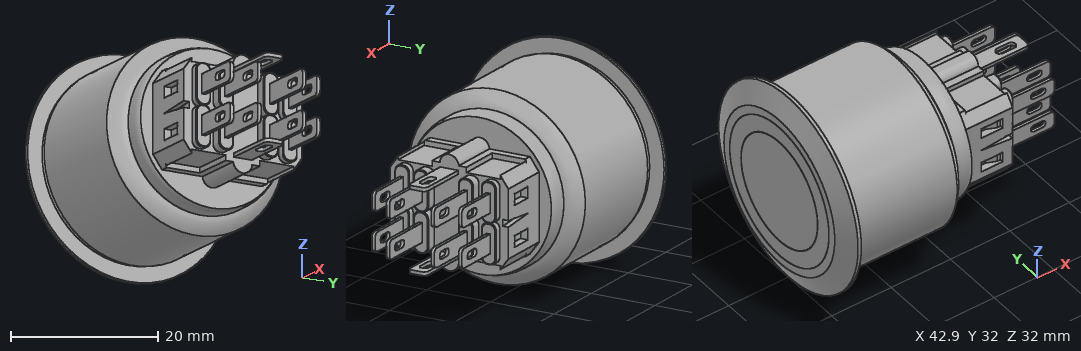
import cadquery as cq


bezel_face_radius = 12.7
rim_radius = 32.0 / 2
rim_front_x = 1.5
rim_back_x = 2.05
relief_start_radius = 13.73
relief_floor_radius = 13.45
relief_floor_x = 2.5
barrel_start_x = 2.95
barrel_radius = 27.9 / 2
barrel_end_x = 19.7
shoulder_mid = (20.7, 12.9)
neck_start_x = 21.35
neck_radius = 23.1 / 2
neck_round_x = 22.95
neck_end_x = 24.2
neck_end_radius = 11.25

face_gaps = [(17.5, 17.6), (22.75, 22.8)]
face_gap_depth = 0.2

block_end_x = 32.45
block_half_width = 9.3
block_half_height = 7.0
block_corner_z = 5.0
block_top_half_width = 7.85
root_overlap = 0.45

recess_start_x = 25.5
recess_inner_y = 2.7
recess_outer_y = 8.02
recess_floor_z = 6.2

rib_radius = 1.5
rib_axis_z = 6.85

window_start_x = 27.2
window_ramp_start_x = 28.7
window_ramp_end_x = 30.2
window_end_x = 30.75
window_height = 1.65
window_z = 3.0
window_depth = 1.15
latch_depth = 0.5

notch_start_x = window_start_x
notch_width = 0.95
notch_depth = 0.85

terminal_z = 2.9
terminal_width = 2.85
terminal_thickness = 0.5
terminal_slot_width = 1.1
outer_y = 6.8
outer_end_x = 41.15
outer_slot = (37.15, 39.65)
outer_collar_end_x = 33.55
inner_y = 3.5
inner_end_x = 42.9
inner_slot = (38.95, 41.45)
inner_collar_end_x = 34.05
lamp_z = 6.05
lamp_thickness = 0.55
lamp_slot = (36.55, 39.73)
lamp_slot_width = 1.3
terminal_corner = 0.7
collar_width = 2.27
collar_length = 5.95
collar_corner = 1.0
collar_edge = 0.15


def box(x_range, y_range, z_range):
    """Box spanning the given (start, end) pairs."""
    return (
        cq.Workplane("XY")
        .box(
            x_range[1] - x_range[0],
            y_range[1] - y_range[0],
            z_range[1] - z_range[0],
            centered=False,
        )
        .translate((x_range[0], y_range[0], z_range[0]))
    )


def housing():
    """Bezel, barrel and neck turned about X, with the thin gaps in the front face."""
    body = (
        cq.Workplane("XY")
        .lineTo(0, bezel_face_radius)
        .lineTo(rim_front_x, rim_radius)
        .lineTo(rim_back_x, rim_radius)
        .lineTo(rim_back_x, relief_start_radius)
        .threePointArc((relief_floor_x, relief_floor_radius), (barrel_start_x, barrel_radius))
        .lineTo(barrel_end_x, barrel_radius)
        .threePointArc(shoulder_mid, (neck_start_x, neck_radius))
        .lineTo(neck_round_x, neck_radius)
        .tangentArcPoint((neck_end_x, neck_end_radius), relative=False)
        .lineTo(neck_end_x, 0)
        .close()
        .revolve(360, (0, 0, 0), (1, 0, 0))
    )
    for inner_diameter, outer_diameter in face_gaps:
        gap = (
            cq.Workplane("YZ")
            .circle(outer_diameter / 2)
            .circle(inner_diameter / 2)
            .extrude(face_gap_depth)
        )
        body = body.cut(gap)
    return body


def side_window():
    """Latch window in the -Y side: a deep pocket whose floor ramps up to a shallow ledge."""
    surface_y = -block_half_width
    deep_y = surface_y + window_depth
    latch_y = surface_y + latch_depth
    return (
        cq.Workplane("XY")
        .moveTo(window_start_x, surface_y)
        .lineTo(window_start_x, deep_y)
        .lineTo(window_ramp_start_x, deep_y)
        .lineTo(window_ramp_end_x, latch_y)
        .lineTo(window_end_x, latch_y)
        .lineTo(window_end_x, surface_y)
        .close()
        .extrude(window_height / 2, both=True)
    )


def side_notch():
    """V notch in the -Y side, widening toward the rear of the block."""
    return (
        cq.Workplane("XZ", origin=(0, -block_half_width, 0))
        .moveTo(notch_start_x, 0)
        .lineTo(block_end_x, notch_width / 2)
        .lineTo(block_end_x, -notch_width / 2)
        .close()
        .extrude(-notch_depth)
    )


def terminal_block():
    """Bevelled block with ribs, recesses, latch windows and notches."""
    start_x = neck_end_x - root_overlap
    length = block_end_x - start_x
    block = (
        cq.Workplane("YZ", origin=(start_x, 0, 0))
        .polyline([
            (block_half_width, block_corner_z),
            (block_top_half_width, block_half_height),
            (-block_top_half_width, block_half_height),
            (-block_half_width, block_corner_z),
            (-block_half_width, -block_corner_z),
            (-block_top_half_width, -block_half_height),
            (block_top_half_width, -block_half_height),
            (block_half_width, -block_corner_z),
        ])
        .close()
        .extrude(length)
    )
    ribs = (
        cq.Workplane("YZ", origin=(start_x, 0, 0))
        .pushPoints([(0, rib_axis_z), (0, -rib_axis_z)])
        .circle(rib_radius)
        .extrude(length)
    )
    block = block.union(ribs)

    recess = box(
        (recess_start_x, block_end_x),
        (recess_inner_y, recess_outer_y),
        (recess_floor_z, block_half_height),
    )
    recesses = recess.union(recess.mirror("XZ"))
    block = block.cut(recesses).cut(recesses.mirror("XY"))

    side_cuts = side_notch()
    for z in (window_z, -window_z):
        side_cuts = side_cuts.union(side_window().translate((0, 0, z)))
    return block.cut(side_cuts).cut(side_cuts.mirror("XZ"))


def blade(end_x, thickness, slot_range, slot_width):
    """Slotted terminal blade on the X axis, flat in XZ, with rounded outer corners."""
    start_x = block_end_x - root_overlap
    slot_start_x, slot_end_x = slot_range
    slot = (
        cq.Workplane("XZ")
        .center((slot_start_x + slot_end_x) / 2, 0)
        .slot2D(slot_end_x - slot_start_x, slot_width)
        .extrude(thickness, both=True)
    )
    return (
        box(
            (start_x, end_x),
            (-thickness / 2, thickness / 2),
            (-terminal_width / 2, terminal_width / 2),
        )
        .edges("|Y and >X")
        .fillet(terminal_corner)
        .cut(slot)
    )


def collar(end_x):
    """Rounded insulating collar around the root of a blade."""
    return (
        cq.Workplane("YZ", origin=(block_end_x - root_overlap, 0, 0))
        .rect(collar_width, collar_length)
        .extrude(end_x - block_end_x + root_overlap)
        .edges("|X")
        .fillet(collar_corner)
        .faces(">X")
        .chamfer(collar_edge)
    )


outer_blade = blade(outer_end_x, terminal_thickness, outer_slot, terminal_slot_width)
inner_blade = blade(inner_end_x, terminal_thickness, inner_slot, terminal_slot_width)
lamp_blade = blade(outer_end_x, lamp_thickness, lamp_slot, lamp_slot_width)
flat_lamp_blade = lamp_blade.rotate((0, 0, 0), (1, 0, 0), 90)

result = housing().union(terminal_block())
for z_side in (1, -1):
    result = result.union(flat_lamp_blade.translate((0, 0, z_side * lamp_z)))
    for y_side in (1, -1):
        for y, terminal, collar_end_x in (
            (outer_y, outer_blade, outer_collar_end_x),
            (inner_y, inner_blade, inner_collar_end_x),
        ):
            root_collar = collar(collar_end_x)
            result = result.union(root_collar.translate((0, y_side * y, z_side * collar_length / 2)))
            result = result.union(terminal.translate((0, y_side * y, z_side * terminal_z)))